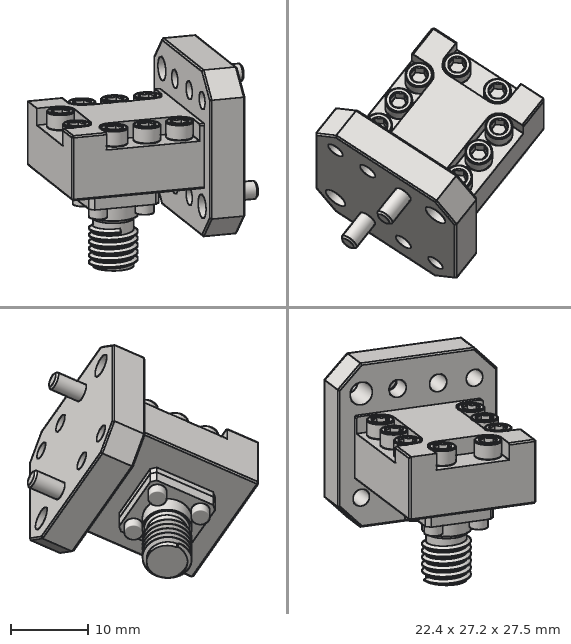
import cadquery as cq
import math


flange_size = 22.35
flange_thickness = 4.78
flange_corner_cut = 3.2
edge_chamfer = 0.22
flange_front_y = -flange_thickness

hole_row_z = 7.1
outer_hole_x = 7.95
clearance_hole_diameter = 3.1
tapped_hole_diameter = 2.3

pin_x = 2.84
pin_diameter = 2.4
pin_length = 6.35
pin_protrusion = 4.34
pin_chamfer = 0.27

housing_width = 17.78
housing_length = 18.07
housing_top_z = 4.22
housing_bottom_z = -4.48
housing_front_y = flange_front_y - housing_length

pocket_floor_z = 1.95
pocket_radius = 1.9
side_screw_x = 6.36
side_screw_count = 3
side_screw_pitch = 4.46
first_side_screw_y = flange_front_y - 2.54
front_screw_x = 3.2
front_screw_y = flange_front_y - 15.5
head_diameter = 3.55
head_height = 2.23
head_chamfer = 0.15
hex_across_flats = 2.0
hex_depth = 1.6
hex_countersink_diameter = 2.36
hex_countersink_depth = 0.18
hex_countersink_angle = 45

connector_y = flange_front_y - 9.38
plate_size = 9.55
plate_corner_cut = 0.62
pad_bottom_z = -5.48
plate_bottom_z = -7.2
shoulder_diameter = 6.38
shoulder_bottom_z = -9.46
neck_cone_top_diameter = 5.9
neck_cone_height = 0.45
neck_diameter = 5.3
connector_bottom_z = -16.305

thread_diameter = 6.35
thread_pitch = 0.914
thread_turns = 5.5
thread_start_z = -16.03
thread_base_width = 0.86
thread_crest_width = 0.1
thread_root_overlap = 0.1

plate_screw_offset = 3.18
plate_screw_diameter = 2.42
plate_screw_height = 1.45
plate_screw_fillet = 0.1


def box_between(x_range, y_range, z_range):
    """Box spanning the given pairs of coordinates."""
    size = [high - low for low, high in (x_range, y_range, z_range)]
    corner = (x_range[0], y_range[0], z_range[0])
    return cq.Workplane("XY").box(*size, centered=False).translate(corner)


def rod_along_y(x, z, diameter, back_y, length):
    """Cylinder that runs from back_y toward -Y."""
    return cq.Workplane("XZ", origin=(x, back_y, z)).circle(diameter / 2).extrude(length)


def make_flange():
    """Square plate with cut corners, chamfered faces and a half-turn symmetric hole pattern."""
    flange = (
        cq.Workplane("XZ").rect(flange_size, flange_size).extrude(flange_thickness)
        .edges("|Y").chamfer(flange_corner_cut)
        .faces("<Y or >Y").edges().chamfer(edge_chamfer)
    )
    for turn in (1, -1):
        holes = (
            (-outer_hole_x, clearance_hole_diameter),
            (-pin_x, pin_diameter),
            (pin_x, pin_diameter),
            (outer_hole_x, tapped_hole_diameter),
        )
        for x, diameter in holes:
            flange = flange.cut(
                rod_along_y(turn * x, turn * hole_row_z, diameter, 0, flange_thickness)
            )
    return flange


def make_pin(x, z):
    """Alignment pin, chamfered at both ends."""
    pin = rod_along_y(x, z, pin_diameter, pin_protrusion, pin_length)
    return pin.faces("<Y or >Y").edges().chamfer(pin_chamfer)


def make_side_pocket(side):
    """Pocket along one side of the housing, open upward and outward."""
    inner_x = side * (side_screw_x - pocket_radius)
    outer_x = side * housing_width / 2
    last_screw_y = first_side_screw_y - (side_screw_count - 1) * side_screw_pitch
    pocket = box_between(
        sorted((inner_x, outer_x)),
        (last_screw_y - pocket_radius, first_side_screw_y + pocket_radius),
        (pocket_floor_z, housing_top_z),
    )
    inner_edges = "|Z and <X" if side > 0 else "|Z and >X"
    return pocket.edges(inner_edges).fillet(pocket_radius)


def make_front_pocket():
    """Pocket in the free end of the housing, open upward and toward -Y."""
    half_width = front_screw_x + pocket_radius
    pocket = box_between(
        (-half_width, half_width),
        (housing_front_y, front_screw_y + pocket_radius),
        (pocket_floor_z, housing_top_z),
    )
    return pocket.edges("|Z and >Y").fillet(pocket_radius)


def make_socket_head(x, y):
    """Screw head with a countersunk hexagon socket, two of its corners pointing along Y."""
    hex_diameter = hex_across_flats / math.cos(math.pi / 6)
    head = (
        cq.Workplane("XY", origin=(x, y, pocket_floor_z))
        .circle(head_diameter / 2).extrude(head_height)
        .faces("<Z or >Z").edges().chamfer(head_chamfer)
    )
    head_top = cq.Workplane("XY", origin=(x, y, pocket_floor_z + head_height))
    socket = head_top.transformed(rotate=(0, 0, 90)).polygon(6, hex_diameter).extrude(-hex_depth)
    countersink = (
        head_top.circle(hex_countersink_diameter / 2)
        .extrude(-hex_countersink_depth, taper=hex_countersink_angle)
    )
    return head.cut(socket).cut(countersink)


def make_plate(top_z, bottom_z):
    """Square plate with cut corners, centred on the connector axis."""
    return (
        cq.Workplane("XY", origin=(0, connector_y, bottom_z))
        .rect(plate_size, plate_size).extrude(top_z - bottom_z)
        .edges("|Z").chamfer(plate_corner_cut)
    )


def make_block():
    """Housing block with its pockets; the top front edge on the -X side stays sharp."""
    block = box_between(
        (-housing_width / 2, housing_width / 2),
        (housing_front_y, flange_front_y),
        (housing_bottom_z, housing_top_z),
    )
    block = block.cut(make_front_pocket())
    front_edges = block.faces("<Y").edges()
    chamfered_edges = (
        front_edges.edges("|Z").edges("<X or >X").vals()
        + front_edges.edges("<Z").vals()
        + front_edges.edges(">Z").edges(">X").vals()
        + block.edges("|Y").edges("<X or >X").vals()
    )
    block = block.newObject(chamfered_edges).chamfer(edge_chamfer)
    for side in (-1, 1):
        block = block.cut(make_side_pocket(side))
    return block


def make_housing():
    """Flange, housing block, connector pad and the eight socket heads as one solid."""
    housing = make_flange().union(make_block())
    housing = housing.union(make_plate(housing_bottom_z, pad_bottom_z))
    for side in (-1, 1):
        housing = housing.union(make_socket_head(side * front_screw_x, front_screw_y))
        for index in range(side_screw_count):
            screw_y = first_side_screw_y - index * side_screw_pitch
            housing = housing.union(make_socket_head(side * side_screw_x, screw_y))
    return housing


def make_thread():
    """Right-hand helical ridge that starts on the -X side of the neck, on a Z axis."""
    inner_radius = neck_diameter / 2 - thread_root_overlap
    crest_radius = thread_diameter / 2
    path = cq.Wire.makeHelix(thread_pitch, thread_pitch * thread_turns, inner_radius)
    ridge = (
        cq.Workplane("XZ")
        .moveTo(inner_radius, -thread_base_width / 2)
        .lineTo(crest_radius, -thread_crest_width / 2)
        .lineTo(crest_radius, thread_crest_width / 2)
        .lineTo(inner_radius, thread_base_width / 2)
        .close()
        .sweep(cq.Workplane(path), isFrenet=True)
    )
    return ridge.rotate((0, 0, 0), (0, 0, 1), 180).translate((0, connector_y, thread_start_z))


def make_connector():
    """Mounting plate, stepped barrel and threaded neck."""
    cone_bottom_z = shoulder_bottom_z - neck_cone_height
    barrel = (
        cq.Workplane("XZ")
        .moveTo(0, plate_bottom_z)
        .lineTo(shoulder_diameter / 2, plate_bottom_z)
        .lineTo(shoulder_diameter / 2, shoulder_bottom_z)
        .lineTo(neck_cone_top_diameter / 2, shoulder_bottom_z)
        .lineTo(neck_diameter / 2, cone_bottom_z)
        .lineTo(neck_diameter / 2, connector_bottom_z)
        .lineTo(0, connector_bottom_z)
        .close()
        .revolve(360, (0, 0, 0), (0, 1, 0))
        .translate((0, connector_y, 0))
    )
    below_end = box_between(
        (-thread_diameter, thread_diameter),
        (connector_y - thread_diameter, connector_y + thread_diameter),
        (connector_bottom_z - thread_pitch, connector_bottom_z),
    )
    thread = make_thread().cut(below_end)
    return make_plate(pad_bottom_z, plate_bottom_z).union(barrel).union(thread)


def make_plate_screw(x, y):
    """Round screw head seated under the connector plate."""
    return (
        cq.Workplane("XY", origin=(x, y, plate_bottom_z))
        .circle(plate_screw_diameter / 2).extrude(-plate_screw_height)
        .faces("<Z").edges().fillet(plate_screw_fillet)
    )


housing = make_housing()
connector = make_connector()
pins = [make_pin(turn * -pin_x, turn * hole_row_z) for turn in (1, -1)]
plate_screws = [
    make_plate_screw(x_side * plate_screw_offset, connector_y + y_side * plate_screw_offset)
    for x_side in (-1, 1)
    for y_side in (-1, 1)
]

result = cq.Compound.makeCompound([
    housing.val(),
    connector.val(),
    *[pin.val() for pin in pins],
    *[screw.val() for screw in plate_screws],
])